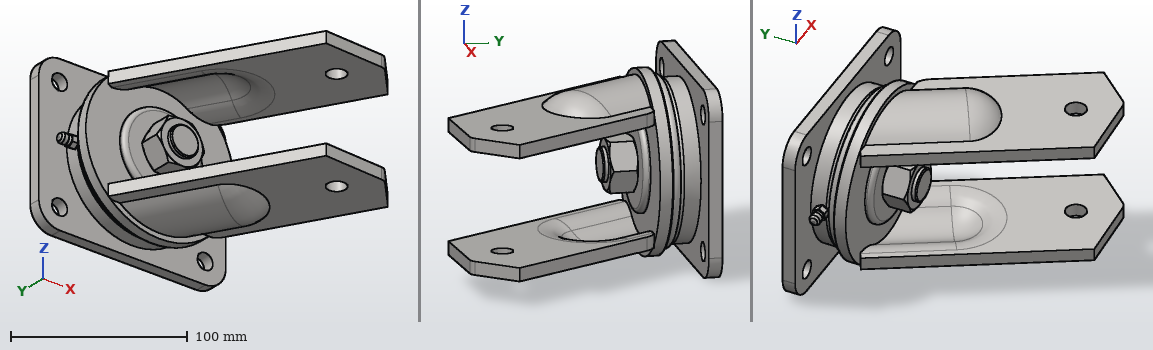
import cadquery as cq
import math


plate_width = 135.0
plate_height = 110.0
plate_thickness = 8.0
plate_corner_radius = 15.0
bolt_hole_diameter = 11.0
bolt_hole_spacing_x = 105.1
bolt_hole_spacing_z = 80.1
boss_radius = 47.5
boss_end_radius = 46.6
boss_taper_depth = 17.6
boss_end_depth = 19.5
spigot_radius = 43.3

seal_crown_radius = 50.0
seal_width = 5.5

disk_radius = 53.5
disk_thickness = 8.0
disk_chamfer = 0.8
disk_back_depth = boss_end_depth + seal_width
disk_face_depth = disk_back_depth + disk_thickness

leg_angle = 30
leg_width = 70.0
leg_thickness = 8.0
leg_spread = 80.1
leg_outer_height = leg_spread / 2
leg_inner_height = leg_outer_height - leg_thickness
leg_root = -17.5
leg_near_end = 114.9
leg_far_end = 124.8
leg_tip = (134.5, 5.1)
leg_tip_radius = 6.1
leg_shoulder_end = 26.8
leg_shoulder_radius = 15.0
axle_hole_position = (106.9, 1.5)
axle_hole_diameter = 12.5

bulge_length = 45.0
bulge_width = 50.0
bulge_height = 10.0
bulge_end_length = 19.5
hollow_half_width = 30.5
bulge_radius = ((bulge_width / 2) ** 2 + bulge_height ** 2) / (2 * bulge_height)
bulge_end_radius = (bulge_end_length ** 2 + bulge_height ** 2) / (2 * bulge_height)
hollow_radius = bulge_radius - leg_thickness
hollow_length = bulge_length - leg_thickness

pin_radius = 10.1
pin_chamfer = 0.8
pin_protrusion = 3.0
cap_radius = 29.0
cap_height = 4.0
cap_edge_radius = 3.0
nut_across_flats = 30.0
nut_height = 16.0
nut_chamfer_angle = 30
cap_face_depth = disk_face_depth + cap_height
nut_face_depth = cap_face_depth + nut_height
pin_end_depth = nut_face_depth + pin_protrusion

nipple_depth = 15.0
nipple_seat_radius = 46.8
nipple_hex_across_flats = 7.4
nipple_hex_end = 51.6
nipple_collar_radius = 3.0
nipple_neck_radius = 2.2
nipple_neck_end = 53.3
nipple_head_radius = 3.4
nipple_head_start = 53.8
nipple_head_end = 56.9
nipple_nose_radius = 2.4
nipple_nose_end = 58.3
nipple_ball_radius = 0.6
nipple_ball_end = 58.8


def at_depth(depth):
    """Workplane across the swivel axis; extrusions run toward -Y."""
    return cq.Workplane("XZ", origin=(0, -depth, 0))


def corner_diameter(across_flats):
    """Corner-to-corner diameter of a hexagon."""
    return across_flats / math.cos(math.radians(30))


def make_pin():
    return at_depth(0).circle(pin_radius).extrude(pin_end_depth).faces("<Y").chamfer(pin_chamfer)


def make_plate(pin, nipple):
    plate = at_depth(0).rect(plate_width, plate_height).extrude(plate_thickness)
    plate = plate.edges("|Y").fillet(plate_corner_radius)
    holes = at_depth(0).rect(bolt_hole_spacing_x, bolt_hole_spacing_z, forConstruction=True)
    holes = holes.vertices().circle(bolt_hole_diameter / 2).extrude(plate_thickness)
    boss_outline = [
        (0, 0),
        (boss_radius, 0),
        (boss_radius, -boss_taper_depth),
        (boss_end_radius, -boss_end_depth),
        (spigot_radius, -boss_end_depth),
        (spigot_radius, -disk_back_depth),
        (0, -disk_back_depth),
    ]
    boss = cq.Workplane("XY").polyline(boss_outline).close().revolve(360, (0, 0), (0, 1))
    return plate.cut(holes).union(boss).cut(pin).cut(nipple)


def make_seal():
    lip_radius = seal_crown_radius - seal_width / 2
    profile = (
        cq.Workplane("XY")
        .moveTo(spigot_radius, -boss_end_depth)
        .lineTo(lip_radius, -boss_end_depth)
        .threePointArc((seal_crown_radius, -boss_end_depth - seal_width / 2), (lip_radius, -disk_back_depth))
        .lineTo(spigot_radius, -disk_back_depth)
        .close()
    )
    return profile.revolve(360, (0, 0), (0, 1))


def across_leg(along, height):
    """Workplane square to a leg: x runs across the leg, y up and the normal along the leg."""
    return cq.Workplane("YZ", origin=(along, 0, height))


def make_leg_blank():
    """Flat leg, lying along X and centred across Y."""
    half = leg_width / 2
    shoulder_start = leg_shoulder_end - leg_shoulder_radius
    shoulder_inset = half - leg_shoulder_radius
    shoulder_diagonal = leg_shoulder_radius * math.sqrt(0.5)
    blank = (
        cq.Workplane("XY", origin=(0, 0, leg_inner_height))
        .moveTo(leg_root, -half)
        .lineTo(leg_near_end, -half)
        .lineTo(*leg_tip)
        .lineTo(leg_far_end, half)
        .lineTo(leg_shoulder_end, half)
        .threePointArc(
            (leg_shoulder_end - shoulder_diagonal, shoulder_inset + shoulder_diagonal),
            (shoulder_start, shoulder_inset),
        )
        .lineTo(leg_root, shoulder_inset)
        .close()
        .extrude(leg_thickness)
    )
    return blank.edges(">X").fillet(leg_tip_radius)


def make_bulge():
    """Arched rib on the outer leg face, its end turned down into that face."""
    half = bulge_width / 2

    def section(along):
        outline = across_leg(along, leg_outer_height).moveTo(-half, 0)
        return outline.threePointArc((0, bulge_height), (half, 0)).close()

    rib = section(leg_root).extrude(bulge_length - leg_root)
    hub_drop = bulge_end_radius - bulge_height
    turn = math.degrees(math.acos(hub_drop / bulge_end_radius))
    end = section(bulge_length).revolve(turn, (-1.6, -hub_drop), (0, -hub_drop))
    return rib.union(end)


def make_hollow():
    """Inside of the bulge, one wall thickness below its crown and blended into the inner leg face."""
    centre_drop = hollow_radius - bulge_height
    blend_radius = (hollow_half_width ** 2 + centre_drop ** 2 - hollow_radius ** 2) / (2 * bulge_height)
    tangent_angle = math.asin(hollow_half_width / (hollow_radius + blend_radius))

    def arch_point(angle):
        return hollow_radius * math.sin(angle), hollow_radius * math.cos(angle) - centre_drop

    def blend_point(angle):
        return hollow_half_width - blend_radius * math.sin(angle), blend_radius * (1 - math.cos(angle))

    def half_section(along):
        return (
            across_leg(along, leg_inner_height)
            .lineTo(hollow_half_width, 0)
            .threePointArc(blend_point(tangent_angle / 2), arch_point(tangent_angle))
            .threePointArc(arch_point(tangent_angle / 2), (0, bulge_height))
            .close()
        )

    half_run = half_section(leg_root).extrude(hollow_length - leg_root)
    end = half_section(hollow_length).revolve(360, (0, 0), (0, 1))
    return half_run.union(half_run.mirror("XZ")).union(end)


def make_leg():
    """Upper leg, swung into place and trimmed where it meets the disk face."""
    axle_hole = cq.Workplane("XY", origin=(0, 0, leg_inner_height)).center(*axle_hole_position)
    axle_hole = axle_hole.circle(axle_hole_diameter / 2).extrude(leg_thickness)
    leg = make_leg_blank().union(make_bulge()).cut(make_hollow()).cut(axle_hole)
    leg = leg.rotate((0, 0, 0), (0, 0, 1), leg_angle - 90).translate((0, -disk_face_depth, 0))
    behind_face = at_depth(0).rect(plate_width, 2 * plate_height).extrude(disk_face_depth)
    return leg.cut(behind_face)


def make_fork(pin):
    disk = at_depth(disk_back_depth).circle(disk_radius).extrude(disk_thickness)
    disk = disk.faces(">Y").chamfer(disk_chamfer)
    leg = make_leg()
    return disk.union(leg).union(leg.mirror("XY")).cut(pin)


def make_cap(pin):
    cap = at_depth(disk_face_depth).circle(cap_radius).extrude(cap_height)
    return cap.faces("<Y").edges().fillet(cap_edge_radius).cut(pin)


def make_nut(pin):
    """Hexagon nut with its corners bevelled by a double cone."""
    flat_radius = nut_across_flats / 2
    corner_radius = corner_diameter(nut_across_flats) / 2
    bevel = (corner_radius - flat_radius) * math.tan(math.radians(nut_chamfer_angle))
    nut = at_depth(cap_face_depth).polygon(6, 2 * corner_radius).extrude(nut_height)
    bevel_outline = [
        (0, -cap_face_depth),
        (flat_radius, -cap_face_depth),
        (corner_radius, -cap_face_depth - bevel),
        (corner_radius, -nut_face_depth + bevel),
        (flat_radius, -nut_face_depth),
        (0, -nut_face_depth),
    ]
    bevel_cone = cq.Workplane("XY").polyline(bevel_outline).close().revolve(360, (0, 0), (0, 1))
    return nut.intersect(bevel_cone).cut(pin)


def make_nipple():
    """Grease nipple pointing along -X: hexagon, waisted neck and ball-nosed head."""
    hexagon = cq.Workplane("YZ", origin=(-nipple_hex_end, -nipple_depth, 0))
    hexagon = hexagon.transformed(rotate=(0, 0, 90)).polygon(6, corner_diameter(nipple_hex_across_flats))
    hexagon = hexagon.extrude(nipple_hex_end - nipple_seat_radius)
    head_outline = [
        (-nipple_hex_end, 0),
        (-nipple_hex_end, nipple_collar_radius),
        (-nipple_neck_end, nipple_neck_radius),
        (-nipple_head_start, nipple_head_radius),
        (-nipple_head_end, nipple_head_radius),
        (-nipple_nose_end, nipple_nose_radius),
        (-nipple_ball_end, nipple_ball_radius),
        (-nipple_ball_end, 0),
    ]
    head = cq.Workplane("XY").polyline(head_outline).close().revolve(360, (0, 0), (1, 0))
    return hexagon.union(head.translate((0, -nipple_depth, 0)))


pin = make_pin()
nipple = make_nipple()
plate = make_plate(pin, nipple)
seal = make_seal()
fork = make_fork(pin)
cap = make_cap(pin)
nut = make_nut(pin)

result = cq.Compound.makeCompound([
    plate.val(),
    seal.val(),
    fork.val(),
    cap.val(),
    nut.val(),
    pin.val(),
    nipple.val(),
])